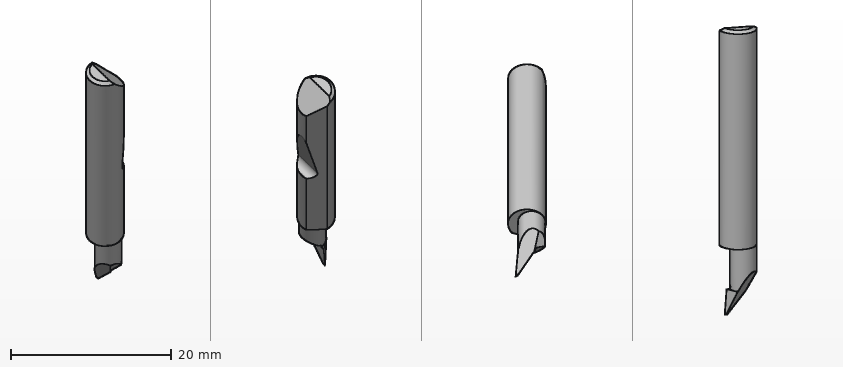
import cadquery as cq


SHANK_DIAMETER = 4.7625
SHANK_RADIUS = SHANK_DIAMETER / 2
SHANK_LENGTH = 28.58
OVERALL_LENGTH = 37.75
TIP_Z = SHANK_LENGTH - OVERALL_LENGTH

END_BEVEL_WIDTH = 0.45
END_BEVEL_HEIGHT = 0.38

TOP_SLOPE_START_Y = -0.62

FLAT_DISTANCE = 2.0
FLAT_DIRECTION = 142.0

NOTCH_STEP_Z = 11.6
NOTCH_ROUND = 1.1
NOTCH_FLOOR_Y = 1.15
NOTCH_TOP_Z = 20.4

NECK_DIAMETER = 3.4
NECK_RADIUS = NECK_DIAMETER / 2
NECK_X = SHANK_RADIUS - NECK_RADIUS

RAMP_FRONT_Z = -5.5
RAMP_BACK_Z = -3.98

TIP_TOP_Z = -5.8
TIP_TOP_X = -1.465
TIP_END_X = -1.71
TIP_SIDE_SLOPE = 0.77

END_RELIEF = {"height": -7.43, "x_slope": 1.25, "y_slope": 1.45}
HEEL_RELIEF = {"height": -8.18, "x_slope": 1.95, "y_slope": 0.38}
NOSE_RELIEF = {"height": TIP_Z, "x_slope": 0.0, "y_slope": 1.1}

CUTTER_SIZE = 4 * OVERALL_LENGTH


def half_space(point, normal):
    """Large block on the side of a plane that its normal points to."""
    plane = cq.Plane(origin=point, normal=normal)
    return cq.Workplane(plane).rect(CUTTER_SIZE, CUTTER_SIZE).extrude(CUTTER_SIZE)


def below_plane(height, x_slope, y_slope):
    """Everything under the plane z = height + x_slope * x - y_slope * y."""
    return half_space((0, 0, height), (x_slope, -y_slope, -1))


def flat_cutter():
    """Block whose inner face forms the lengthwise flat."""
    return (
        cq.Workplane("XY")
        .transformed(rotate=(0, 0, FLAT_DIRECTION))
        .center(FLAT_DISTANCE + SHANK_RADIUS, 0)
        .rect(SHANK_DIAMETER, 2 * SHANK_DIAMETER)
        .extrude(SHANK_LENGTH)
    )


def notch_cutter():
    """Notch profile in the YZ plane, running right across the shank."""
    outside_y = SHANK_DIAMETER
    return (
        cq.Workplane("YZ")
        .moveTo(NOTCH_FLOOR_Y, NOTCH_STEP_Z + NOTCH_ROUND)
        .radiusArc((NOTCH_FLOOR_Y + NOTCH_ROUND, NOTCH_STEP_Z), -NOTCH_ROUND)
        .lineTo(outside_y, NOTCH_STEP_Z)
        .lineTo(outside_y, NOTCH_TOP_Z)
        .lineTo(SHANK_RADIUS, NOTCH_TOP_Z)
        .close()
        .extrude(SHANK_DIAMETER, both=True)
    )


def make_shank():
    shank = cq.Workplane("XY").circle(SHANK_RADIUS).extrude(SHANK_LENGTH)
    shank = shank.faces(">Z").chamfer(END_BEVEL_HEIGHT, END_BEVEL_WIDTH)
    top_slope = half_space((0, TOP_SLOPE_START_Y, SHANK_LENGTH), (0, 1, 1))
    return shank.cut(top_slope).cut(flat_cutter()).cut(notch_cutter())


def make_neck():
    """Round neck with its lower back half ground away to the rake face and ramp."""
    neck = cq.Workplane("XY").center(NECK_X, 0).circle(NECK_RADIUS).extrude(TIP_Z)
    ground_away = (
        cq.Workplane("YZ")
        .moveTo(0, RAMP_FRONT_Z)
        .lineTo(NECK_RADIUS, RAMP_BACK_Z)
        .lineTo(NECK_DIAMETER, RAMP_BACK_Z)
        .lineTo(NECK_DIAMETER, TIP_Z)
        .lineTo(0, TIP_Z)
        .close()
        .extrude(SHANK_DIAMETER, both=True)
    )
    return neck.cut(ground_away)


def make_tip():
    """Block beside the neck with a leaning side face."""
    height = TIP_TOP_Z - TIP_Z
    block = (
        cq.Workplane("XY")
        .box(NECK_X - TIP_END_X, NECK_RADIUS, height, centered=False)
        .translate((TIP_END_X, -NECK_RADIUS, TIP_Z))
    )
    lean = (TIP_TOP_X - TIP_END_X) / height
    outside_side_face = half_space((TIP_END_X, 0, TIP_Z), (-1, -TIP_SIDE_SLOPE, lean))
    return block.cut(outside_side_face)


cutting_end = make_neck().union(make_tip())
for relief in (END_RELIEF, HEEL_RELIEF, NOSE_RELIEF):
    cutting_end = cutting_end.cut(below_plane(**relief))

result = make_shank().union(cutting_end)